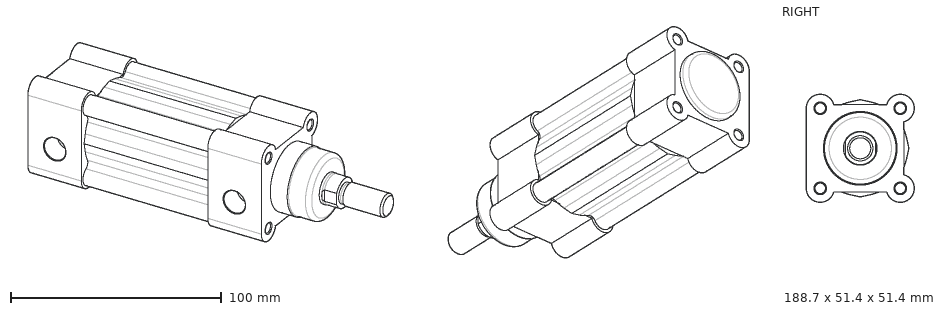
import cadquery as cq
import math


rear_boss_length = 4.0
cap_length = 29.75
tube_length = 70.3
rear_cap_start = rear_boss_length
tube_start = rear_cap_start + cap_length
front_cap_start = tube_start + tube_length
front_boss_start = front_cap_start + cap_length

lobe_spacing = 38.0
lobe_offset = lobe_spacing / 2
cap_lobe_radius = 6.69
cap_half_width = 20.75
lobe_reach = lobe_offset + cap_lobe_radius
tie_hole_diameter = 5.0
tie_hole_chamfer = 0.5
tie_hole_depth = 16.0

port_diameter = 11.8
port_chamfer = 0.35
port_depth = 12.0
port_drop = 6.0
port_inset = 15.0

boss_radius = 17.5
rear_boss_fillet = 2.0
front_boss_length = 9.4
step_fillet = 0.5
nose_radius = boss_radius - step_fillet
nose_length = 12.0
nose_fillet = 2.2
nose_end = front_boss_start + front_boss_length + nose_length

tube_radius = 22.6
crest_half_angle = math.radians(12.4)
tube_lobe_radius = 5.15
tube_fillet_radius = 3.0

rod_radius = 8.0
rod_taper_start = 156.6
rod_taper_length = 1.0
wrench_radius = 7.77
rod_shoulder = 164.4
neck_radius = 5.4
neck_length = 1.1
neck_flare = 1.6
thread_radius = 6.0
rod_end = 188.7
rod_end_chamfer = 1.0
flat_half_width = 7.12
flat_runout_rise = 0.6


def x_cylinder(radius, start, length):
    """Solid cylinder along the X axis."""
    return cq.Workplane("YZ", origin=(start, 0, 0)).circle(radius).extrude(length)


def polar(radius, angle, center=(0, 0)):
    """Point at an angle on a circle."""
    return (center[0] + radius * math.cos(angle), center[1] + radius * math.sin(angle))


def lobe_centers():
    return [(y, z) for y in (-lobe_offset, lobe_offset) for z in (-lobe_offset, lobe_offset)]


def make_cap_block(start):
    """Square block with four round corner lobes, flush with the lobes on the -Y face."""
    plane = cq.Workplane("YZ", origin=(start, 0, 0))
    block_center = (cap_half_width - lobe_reach) / 2
    block_width = cap_half_width + lobe_reach
    block = plane.center(block_center, 0).rect(block_width, lobe_spacing).extrude(cap_length)
    core_center = (cap_half_width - lobe_offset) / 2
    core_width = cap_half_width + lobe_offset
    core = plane.center(core_center, 0).rect(core_width, 2 * cap_half_width).extrude(cap_length)
    lobes = plane.pushPoints(lobe_centers()).circle(cap_lobe_radius).extrude(cap_length)
    return block.union(core).union(lobes)


def chamfered_drill(diameter, depth, chamfer):
    """Drill shape pointing along +X from the origin, with a conical mouth."""
    radius = diameter / 2
    profile = cq.Workplane("XY").polyline(
        [
            (0, 0),
            (0, radius + chamfer),
            (chamfer, radius),
            (depth, radius),
            (depth, 0),
        ]
    ).close()
    return profile.revolve(360, (0, 0, 0), (1, 0, 0))


def cut_tie_holes(cap, face, turn):
    """Drill the four lobes from a face on the X axis; turn is the heading about Z, 0 for +X."""
    drill = chamfered_drill(tie_hole_diameter, tie_hole_depth, tie_hole_chamfer)
    drill = drill.rotate((0, 0, 0), (0, 0, 1), turn)
    for y, z in lobe_centers():
        cap = cap.cut(drill.translate((face, y, z)))
    return cap


def cut_port(cap, x):
    drill = chamfered_drill(port_diameter, port_depth, port_chamfer)
    drill = drill.rotate((0, 0, 0), (0, 0, 1), 90)
    return cap.cut(drill.translate((x, -lobe_reach, -port_drop)))


def make_rear_cap():
    boss = x_cylinder(boss_radius, 0, rear_boss_length).faces("<X").edges().fillet(rear_boss_fillet)
    cap = make_cap_block(rear_cap_start).union(boss)
    cap = cut_tie_holes(cap, rear_cap_start, 0)
    return cut_port(cap, rear_cap_start + port_inset)


def make_front_boss():
    """Boss and slightly smaller nose joined by a concave fillet, with a rounded front edge."""
    step = front_boss_start + front_boss_length
    profile = (
        cq.Workplane("XY")
        .moveTo(front_boss_start, 0)
        .lineTo(front_boss_start, boss_radius)
        .lineTo(step, boss_radius)
        .radiusArc((step + step_fillet, nose_radius), -step_fillet)
        .lineTo(nose_end, nose_radius)
        .lineTo(nose_end, 0)
        .close()
    )
    boss = profile.revolve(360, (0, 0, 0), (1, 0, 0))
    return boss.faces(">X").edges().fillet(nose_fillet)


def make_front_cap():
    cap = make_cap_block(front_cap_start).union(make_front_boss())
    cap = cut_tie_holes(cap, front_boss_start, 180)
    cap = cut_port(cap, front_boss_start - port_inset)
    return cap.cut(x_cylinder(rod_radius, front_cap_start, nose_end - front_cap_start))


def tube_outline():
    """Closed tube profile: a flat-sided crest on each side and a filleted lobe at each corner."""
    corner_angle = math.pi / 4
    crest_radius = tube_radius / math.cos(crest_half_angle)
    lobe_distance = lobe_offset * math.sqrt(2)

    fillet_distance = tube_radius + tube_fillet_radius
    reach = tube_lobe_radius + tube_fillet_radius
    cosine = (fillet_distance**2 + lobe_distance**2 - reach**2) / (2 * fillet_distance * lobe_distance)
    fillet_angle = corner_angle - math.acos(cosine)
    fillet_center = polar(fillet_distance, fillet_angle)
    to_lobe = math.atan2(lobe_offset - fillet_center[1], lobe_offset - fillet_center[0])
    to_axis = fillet_angle + math.pi
    fillet_middle = polar(tube_fillet_radius, (to_lobe + to_axis) / 2, fillet_center)
    fillet_end = polar(tube_fillet_radius, to_lobe, fillet_center)

    flat_end = polar(tube_radius, crest_half_angle)
    arc_middle = polar(tube_radius, (crest_half_angle + fillet_angle) / 2)
    fillet_start = polar(tube_radius, fillet_angle)
    lobe_tip = polar(lobe_distance + tube_lobe_radius, corner_angle)

    outline = cq.Workplane("YZ", origin=(tube_start, 0, 0)).moveTo(crest_radius, 0)
    for quarter in range(4):
        turn = quarter * math.pi / 2

        def place(point):
            return polar(math.hypot(*point), math.atan2(point[1], point[0]) + turn)

        def mirror(point):
            return place((point[1], point[0]))

        outline = outline.lineTo(*place(flat_end))
        outline = outline.threePointArc(place(arc_middle), place(fillet_start))
        outline = outline.threePointArc(place(fillet_middle), place(fillet_end))
        outline = outline.threePointArc(place(lobe_tip), mirror(fillet_end))
        outline = outline.threePointArc(mirror(fillet_middle), mirror(fillet_start))
        outline = outline.threePointArc(mirror(arc_middle), mirror(flat_end))
        if quarter < 3:
            outline = outline.lineTo(*mirror((crest_radius, 0)))
    return outline.close()


def make_tube():
    return tube_outline().extrude(tube_length)


def flat_cutter():
    """Prism that mills the wrench flat on the -Y side, with a sloped run-out at its rear end."""
    flat_start = rod_taper_start + rod_taper_length
    runout_depth = flat_half_width + flat_runout_rise
    profile = cq.Workplane("XY", origin=(0, 0, -rod_radius)).polyline(
        [
            (rod_taper_start, -rod_radius),
            (rod_taper_start, -runout_depth),
            (flat_start, -flat_half_width),
            (rod_shoulder, -flat_half_width),
            (rod_shoulder, -rod_radius),
        ]
    ).close()
    return profile.extrude(2 * rod_radius)


def make_rod():
    """Piston rod with wrench flats, a thread relief neck and a chamfered thread end."""
    flare_start = rod_shoulder + neck_length
    profile = (
        cq.Workplane("XY")
        .moveTo(front_cap_start, 0)
        .lineTo(front_cap_start, rod_radius)
        .lineTo(rod_taper_start, rod_radius)
        .lineTo(rod_taper_start + rod_taper_length, wrench_radius)
        .lineTo(rod_shoulder, wrench_radius)
        .lineTo(rod_shoulder, neck_radius)
        .lineTo(flare_start, neck_radius)
        .tangentArcPoint((flare_start + neck_flare, thread_radius), relative=False)
        .lineTo(rod_end - rod_end_chamfer, thread_radius)
        .lineTo(rod_end, thread_radius - rod_end_chamfer)
        .lineTo(rod_end, 0)
        .close()
    )
    rod = profile.revolve(360, (0, 0, 0), (1, 0, 0))
    flat = flat_cutter()
    return rod.cut(flat).cut(flat.mirror("XZ"))


rear_cap = make_rear_cap()
tube = make_tube()
front_cap = make_front_cap()
rod = make_rod()

result = cq.Compound.makeCompound([rear_cap.val(), tube.val(), front_cap.val(), rod.val()])